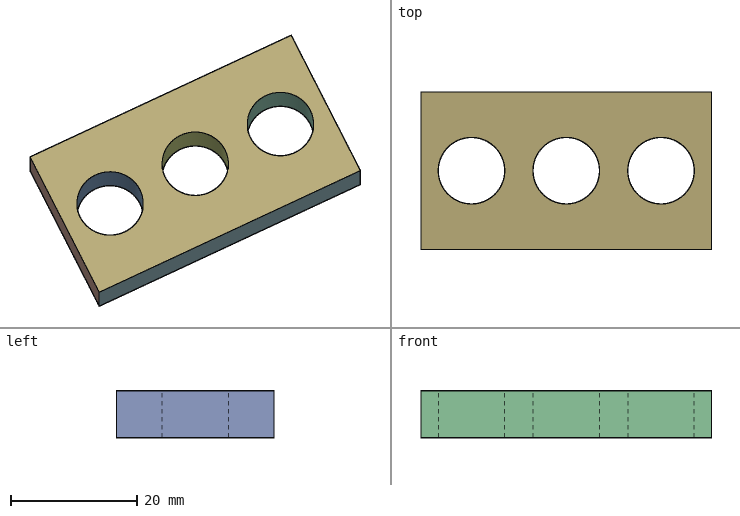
import cadquery as cq

length = 46.0
width = 25.0
thickness = 7.5

hole_diameter = 10.5
hole_count = 3
hole_pitch = 15.0

plate = cq.Workplane("XY").box(length, width, thickness)

result = (
    plate.faces(">Z")
    .workplane()
    .rarray(hole_pitch, 0.45, hole_count, 1)
    .hole(hole_diameter)
)